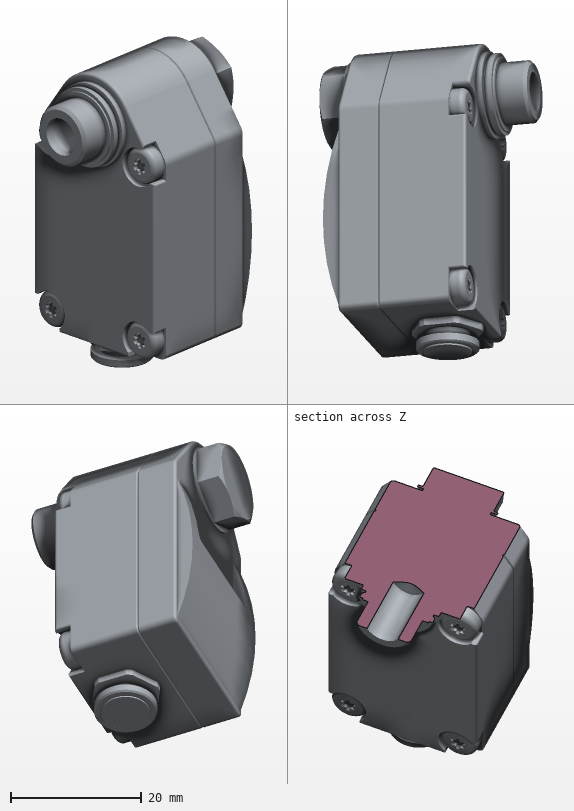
import cadquery as cq
import math

width = 25.0
depth = 20.45
shaft_z = 36.85
top_radius = 8.05
flank_angle = math.radians(35)
seam_y = 14.0
seam_chamfer = 0.2
shoulder_radius = 1.95
bottom_radius = 1.0
rim_radius = 0.5

collar_diameter = 13.5
collar_end = 0.9
groove_diameter = 11.85
ring_diameter = 12.8
ring_face_diameter = 11.6
ring_start = 1.1
ring_round = 0.7
ring_face_start = 2.35
ring_end = 2.65
shaft_diameter = 9.75
shaft_end = 7.45
shaft_chamfer = 0.5
bore_diameter = 6.0
bore_depth = 9.8
bore_tip_angle = math.radians(59)

rear_neck_diameter = 11.85
washer_diameter = 13.8
washer_start = 20.8
nut_start = 21.25
nut_end = 25.25
nut_flats = 11.95
nut_chamfer_angle = math.radians(30)

pad_width = 23.75
pad_bottom = 1.0
pad_top = 29.6
pad_height = 2.55
notch_width = 17.95
notch_floor = 18.6
notch_corner_radius = 1.05

screw_x = 9.2
lower_screw_z = 3.2
upper_screw_z = 32.1
pocket_radius = 3.2
pocket_depth = 2.75
pocket_edge = 2.05
side_flare = 0.35
flank_pocket_edge = 1.18
flank_pocket_round = 0.75
head_diameter = 6.0
head_height = 2.4
head_straight = 1.2
head_flat_diameter = 4.5
socket_radius = 1.25
socket_taper = 20
socket_root_radius = 0.85
socket_scallop_radius = 0.35
socket_depth = 0.6

plug_y = 6.45
plug_hex_flats = 10.1
plug_hex_corner_diameter = 11.1
plug_hex_height = 1.1
plug_neck_diameter = 7.0
plug_disc_diameter = 9.75
plug_disc_top = 2.5
plug_disc_chamfer = 0.25
plug_disc_bottom = 3.8
plug_face_diameter = 7.5
plug_end = 4.05

half_width = width / 2
clear_distance = width


def front_plane(y):
    """Workplane at depth y with local axes X and Z; a negative extrusion runs toward +Y."""
    return cq.Workplane(cq.Plane(origin=(0, y, 0), xDir=(1, 0, 0), normal=(0, -1, 0)))


def rod(diameter, y_start, y_end):
    """Cylinder on the shaft axis."""
    return front_plane(y_start).center(0, shaft_z).circle(diameter / 2).extrude(y_start - y_end)


def revolve_about_shaft(points):
    """Solid of revolution about the shaft axis from (radius, y) points."""
    profile = cq.Workplane("XY").polyline(points).close()
    return profile.revolve(360, (0, 0, 0), (0, 1, 0)).translate((0, 0, shaft_z))


def housing_half(y_start, y_end):
    """Slab of the housing outline between two depths, with its long corners rounded."""
    tangent_x = top_radius * math.cos(flank_angle)
    tangent_z = shaft_z + top_radius * math.sin(flank_angle)
    shoulder_z = tangent_z - (half_width - tangent_x) / math.tan(flank_angle)
    slab = (
        front_plane(y_start)
        .moveTo(-half_width, 0)
        .lineTo(half_width, 0)
        .lineTo(half_width, shoulder_z)
        .lineTo(tangent_x, tangent_z)
        .threePointArc((0, shaft_z + top_radius), (-tangent_x, tangent_z))
        .lineTo(-half_width, shoulder_z)
        .close()
        .extrude(y_start - y_end)
    )
    middle_y = (y_start + y_end) / 2
    for z, radius in ((0, bottom_radius), (shoulder_z, shoulder_radius)):
        for x in (-half_width, half_width):
            slab = slab.edges(cq.NearestToPointSelector((x, middle_y, z))).fillet(radius)
    return slab


def housing():
    front = housing_half(0, seam_y)
    front = front.faces("<Y").edges().fillet(rim_radius).faces(">Y").edges().chamfer(seam_chamfer)
    rear = housing_half(seam_y, depth)
    rear = rear.faces(">Y").edges().fillet(rim_radius).faces("<Y").edges().chamfer(seam_chamfer)
    return front.union(rear)


def front_shaft():
    shaft_radius = shaft_diameter / 2
    core = revolve_about_shaft([
        (0, rim_radius),
        (collar_diameter / 2, rim_radius),
        (collar_diameter / 2, -collar_end),
        (groove_diameter / 2, -collar_end),
        (groove_diameter / 2, -ring_face_start),
        (ring_face_diameter / 2, -ring_face_start),
        (ring_face_diameter / 2, -ring_end),
        (shaft_radius, -ring_end),
        (shaft_radius, shaft_chamfer - shaft_end),
        (shaft_radius - shaft_chamfer, -shaft_end),
        (0, -shaft_end),
    ])
    ring = rod(ring_diameter, -ring_face_start, -ring_start).faces(">Y").edges().fillet(ring_round)
    return core.union(ring)


def shaft_bore():
    bore_radius = bore_diameter / 2
    bore_end = bore_depth - shaft_end
    tip = bore_end + bore_radius / math.tan(bore_tip_angle)
    return revolve_about_shaft([(0, -shaft_end), (bore_radius, -shaft_end), (bore_radius, bore_end), (0, tip)])


def rear_nut():
    """Hex nut with two corners on the Z direction and a conical chamfer on its end face."""
    corner_radius = nut_flats / math.sqrt(3)
    corner_drop = (corner_radius - nut_flats / 2) * math.tan(nut_chamfer_angle)
    nut = (
        front_plane(nut_start)
        .center(0, shaft_z)
        .transformed(rotate=(0, 0, 90))
        .polygon(6, 2 * corner_radius)
        .extrude(nut_start - nut_end)
    )
    envelope = revolve_about_shaft([
        (0, nut_start),
        (corner_radius, nut_start),
        (corner_radius, nut_end - corner_drop),
        (nut_flats / 2, nut_end),
        (0, nut_end),
    ])
    neck = rod(rear_neck_diameter, depth - rim_radius, washer_start)
    washer = rod(washer_diameter, washer_start, nut_start)
    return nut.intersect(envelope).union(washer).union(neck)


def rear_pad():
    """Pad with a cylindrical crown, open toward the nut between two side legs."""
    pad = (
        cq.Workplane("YZ")
        .moveTo(depth, pad_bottom)
        .threePointArc((depth + pad_height, (pad_bottom + pad_top) / 2), (depth, pad_top))
        .lineTo(depth - rim_radius, pad_top)
        .lineTo(depth - rim_radius, pad_bottom)
        .close()
        .extrude(pad_width / 2, both=True)
    )
    notch = (
        cq.Workplane("XY")
        .box(notch_width, pad_height, pad_top - notch_floor, centered=(True, False, False))
        .edges("|Y and <Z")
        .fillet(notch_corner_radius)
        .translate((0, depth, notch_floor))
    )
    return pad.cut(notch)


def round_seat():
    """Seat for a screw head on the Y axis."""
    return front_plane(0).circle(pocket_radius).extrude(-pocket_depth)


def lower_pocket():
    """Pocket around a lower left screw axis, opened over the whole bottom corner of the housing."""
    side = half_width - screw_x
    opening = (
        front_plane(0)
        .moveTo(pocket_edge, -clear_distance)
        .lineTo(pocket_edge, pocket_edge)
        .lineTo(side_flare - side, pocket_edge)
        .tangentArcPoint((-side, pocket_edge + side_flare), relative=False)
        .lineTo(-clear_distance, pocket_edge + side_flare)
        .lineTo(-clear_distance, -clear_distance)
        .close()
        .extrude(-pocket_depth)
    )
    return round_seat().union(opening)


def upper_pocket():
    """Pocket around an upper left screw axis, opened to the side face and the sloping flank."""
    side = half_width - screw_x
    opening = (
        front_plane(0)
        .moveTo(-clear_distance, -pocket_edge - side_flare)
        .lineTo(-clear_distance, clear_distance)
        .lineTo(-flank_pocket_edge, clear_distance)
        .lineTo(-flank_pocket_edge, pocket_radius + flank_pocket_round)
        .tangentArcPoint((flank_pocket_round - flank_pocket_edge, pocket_radius), relative=False)
        .lineTo(0, pocket_radius)
        .lineTo(0, -pocket_edge)
        .lineTo(side_flare - side, -pocket_edge)
        .tangentArcPoint((-side, -pocket_edge - side_flare), relative=False)
        .close()
        .extrude(-pocket_depth)
    )
    return round_seat().union(opening)


def screw():
    """Screw on the Y axis whose rounded head stands on the pocket floor, with a six-lobe socket."""
    head_radius = head_diameter / 2
    flat_radius = head_flat_diameter / 2
    rounding_angle = math.radians(45)
    rounding_x = flat_radius + (head_radius - flat_radius) * math.sin(rounding_angle)
    rounding_y = head_straight + (head_height - head_straight) * math.cos(rounding_angle)
    head = (
        cq.Workplane("XY")
        .lineTo(head_radius, 0)
        .lineTo(head_radius, -head_straight)
        .threePointArc((rounding_x, -rounding_y), (flat_radius, -head_height))
        .lineTo(0, -head_height)
        .close()
        .revolve(360, (0, 0, 0), (0, 1, 0))
    )
    socket = front_plane(-head_height).circle(socket_radius).extrude(-socket_depth, taper=socket_taper)
    scallops = (
        front_plane(-head_height)
        .polarArray(socket_root_radius + socket_scallop_radius, 0, 360, 6)
        .circle(socket_scallop_radius)
        .extrude(-socket_depth)
    )
    return head.cut(socket.cut(scallops)).translate((0, pocket_depth, 0))


def bottom_plug():
    """Hex flange with turned corners, then a necked disc with a raised end face."""
    flange = (
        cq.Workplane("XY")
        .transformed(rotate=(0, 0, 90))
        .polygon(6, 2 * plug_hex_flats / math.sqrt(3))
        .extrude(-plug_hex_height)
        .intersect(cq.Workplane("XY").circle(plug_hex_corner_diameter / 2).extrude(-plug_hex_height))
    )
    disc_radius = plug_disc_diameter / 2
    turned = (
        cq.Workplane("XZ")
        .moveTo(0, bottom_radius)
        .lineTo(plug_neck_diameter / 2, bottom_radius)
        .lineTo(plug_neck_diameter / 2, -plug_disc_top)
        .lineTo(disc_radius, -plug_disc_top)
        .lineTo(disc_radius, plug_disc_chamfer - plug_disc_bottom)
        .lineTo(disc_radius - plug_disc_chamfer, -plug_disc_bottom)
        .lineTo(plug_face_diameter / 2, -plug_disc_bottom)
        .lineTo(plug_face_diameter / 2, -plug_end)
        .lineTo(0, -plug_end)
        .close()
        .revolve(360, (0, 0, 0), (0, 1, 0))
    )
    return flange.union(turned).translate((0, plug_y, 0))


result = housing()
for pocket, z in ((lower_pocket(), lower_screw_z), (upper_pocket(), upper_screw_z)):
    left_pocket = pocket.translate((-screw_x, 0, z))
    result = result.cut(left_pocket).cut(left_pocket.mirror("YZ"))
    for x in (-screw_x, screw_x):
        result = result.union(screw().translate((x, 0, z)))
for addition in (front_shaft(), rear_nut(), rear_pad(), bottom_plug()):
    result = result.union(addition)
result = result.cut(shaft_bore())